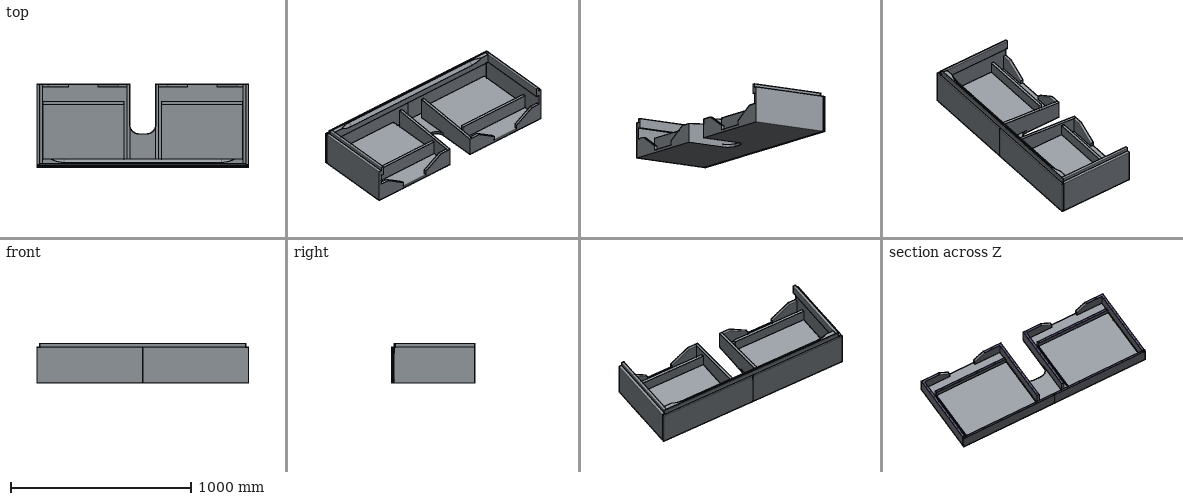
import cadquery as cq
import math


width = 1174.0
depth = 463.0
height = 220.0
board = 16.0
edge_round = 1.0
wide_round = 2.0

side_height = 200.0
rail_bottom = 167.0
front_facing = 7.0
rail_depth = 25.0
rail_chamfer = 18.0
chamfer_half_length = 437.0
chamfer_run_out = 70.0
cutout_half_width = 72.0
cutout_depth = 276.0
cutout_radius = 50.0
partition_back_height = 107.0
partition_slope = 5.0

bracket_flat = 49.0
bracket_run = 112.0
bracket_slope = 31.5
bracket_knee_radius = 9.0

front_thickness = 8.0
front_inner_thickness = 6.0
drawer_gap = 1.0
drawer_clearance = 18.0
drawer_back_inset = 97.0
drawer_floor_top = 53.0
drawer_back_top = 119.0

side_outer = width / 2
side_inner = side_outer - board
strip_inner = side_inner - board
front_back_face = -(depth - front_thickness)
carcass_front = front_back_face + front_inner_thickness
rail_front = carcass_front + front_facing
rail_back = rail_front + rail_depth
partition_outer = cutout_half_width + board
chamfer_leg = rail_chamfer * math.sqrt(0.5)


def block(x_min, x_max, y_min, y_max, z_min, z_max):
    """Box between two opposite corners."""
    size = (x_max - x_min, y_max - y_min, z_max - z_min)
    return cq.Workplane("XY").box(*size, centered=False).translate((x_min, y_min, z_min))


def mirrored_pair(shape):
    """The shape together with its copy on the other side of X = 0."""
    return shape.union(shape.mirror("YZ"))


def make_floor():
    """Bottom board with a round-cornered cut-out open to the back."""
    floor = block(-side_inner, side_inner, carcass_front, 0, 0, board)
    floor = floor.edges(">Y and >Z").fillet(wide_round)
    cutout = block(-cutout_half_width, cutout_half_width, -cutout_depth, 0, 0, board)
    cutout = cutout.edges("|Z and <Y").fillet(cutout_radius)
    return floor.cut(cutout)


def make_side():
    """Right side board and the taller strip fixed to its inner face."""
    side = block(side_inner, side_outer, carcass_front, 0, 0, side_height)
    side = side.edges("|Y and >X").fillet(edge_round)
    strip = block(strip_inner, side_inner, rail_front, 0, rail_bottom, height)
    strip = strip.edges("|Y and >Z").fillet(edge_round)
    return side.union(strip)


def make_partition():
    """Board beside the cut-out, with a top edge that rises towards the front."""
    front_height = partition_back_height - rail_back * math.tan(math.radians(partition_slope))
    return (
        cq.Workplane("YZ", origin=(cutout_half_width, 0, 0))
        .polyline([(0, 0), (rail_back, 0), (rail_back, front_height), (0, partition_back_height)])
        .close()
        .extrude(board)
    )


def make_bracket(root_x, direction):
    """Wall bracket that stands at root_x and slopes down towards the given X direction."""
    knee_x = root_x + direction * bracket_flat
    end_x = knee_x + direction * bracket_run
    end_height = partition_back_height - bracket_run * math.tan(math.radians(bracket_slope))
    bracket = (
        cq.Workplane("XZ")
        .moveTo(root_x, 0)
        .lineTo(root_x, partition_back_height)
        .lineTo(knee_x, partition_back_height)
        .lineTo(end_x, end_height)
        .lineTo(end_x, 0)
        .close()
        .extrude(board)
    )
    knee = cq.selectors.NearestToPointSelector((knee_x, -board / 2, partition_back_height))
    bracket = bracket.edges(knee).fillet(bracket_knee_radius)
    return bracket.faces("<Y").edges("not |Z").fillet(edge_round)


def make_chamfer_cutter():
    """Cutter for the rail chamfer: flat in the middle, with an arc that runs out at each end."""
    run_out_radius = (chamfer_run_out**2 + chamfer_leg**2) / (2 * chamfer_leg)
    mid_y = rail_back - rail_chamfer / 2
    mid_z = height - rail_chamfer / 2
    slope_plane = cq.Plane(origin=(0, mid_y, mid_z), xDir=(1, 0, 0), normal=(0, -1, 1))
    end_x = chamfer_half_length + chamfer_run_out
    arc_angle = math.atan2(chamfer_leg, chamfer_run_out)
    mid_x = chamfer_half_length + run_out_radius * math.sin(arc_angle)
    mid_rise = run_out_radius * (1 - math.cos(arc_angle))
    return (
        cq.Workplane(slope_plane)
        .moveTo(-chamfer_half_length, 0)
        .lineTo(chamfer_half_length, 0)
        .threePointArc((mid_x, mid_rise), (end_x, chamfer_leg))
        .lineTo(-end_x, chamfer_leg)
        .threePointArc((-mid_x, mid_rise), (-chamfer_half_length, 0))
        .close()
        .extrude(rail_chamfer, both=True)
    )


def make_front_rail():
    """Top front rail between the strips, with its facing."""
    rail = block(-strip_inner, strip_inner, rail_front, rail_back, rail_bottom, height)
    rail = rail.cut(make_chamfer_cutter())
    facing = block(-side_inner, side_inner, carcass_front, rail_front, rail_bottom, height)
    facing = facing.edges("|Z or >Z").fillet(edge_round)
    return rail.union(facing)


def make_carcass():
    carcass = make_floor().union(make_front_rail())
    carcass = carcass.union(mirrored_pair(make_side()))
    carcass = carcass.union(mirrored_pair(make_partition()))
    carcass = carcass.union(mirrored_pair(make_bracket(partition_outer, 1)))
    return carcass.union(mirrored_pair(make_bracket(side_inner, -1)))


def make_drawer():
    """Right drawer: rebated front, floor and low back."""
    gap_edge = drawer_gap / 2
    front = block(gap_edge, side_outer, -depth, front_back_face, 0, side_height)
    front = front.faces("<Y").edges().fillet(wide_round)
    inner = block(gap_edge, side_inner, front_back_face, carcass_front, 0, rail_bottom)

    box_left = partition_outer + drawer_clearance
    box_right = side_inner - drawer_clearance
    box_back = -drawer_back_inset
    floor_bottom = drawer_floor_top - board
    floor = block(box_left, box_right, carcass_front, box_back, floor_bottom, drawer_floor_top)
    back = block(box_left, box_right, box_back - board, box_back, floor_bottom, drawer_back_top)
    back = back.edges("|Y and >Z").fillet(edge_round)
    return front.union(inner).union(floor).union(back)


carcass = make_carcass()
right_drawer = make_drawer()
drawers = [right_drawer, right_drawer.mirror("YZ")]

result = cq.Compound.makeCompound([carcass.val(), *[drawer.val() for drawer in drawers]])